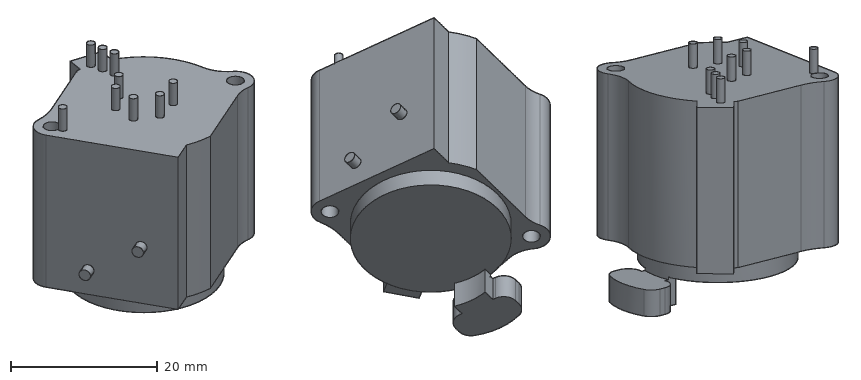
import cadquery as cq
import math


housing_height = 24.0
housing_radius = 12.8
half_width = 11.5
front_y = -12.5
front_right_x = 9.15

lug_offset = 9.9
lug_radius = -front_y - lug_offset
lug_hole_diameter = 2.4
back_blend_radius = 5.15
right_blend_radius = 5.15
left_blend_radius = 8.25

connector_angle = 140
connector_reach = 15.15
connector_width = 5.05

pin_diameter = 1.2
pin_length = 3.5
pin_grid = 2.55 / 4
pin_grid_places = [
    (-16, 12), (-13, 11), (-10, 10),
    (-6, 1), (6, 2), (-5, -4), (5, -4), (0, -7),
    (-13, -16),
]

peg_diameter = 1.65
peg_length = 1.5
peg_places = [(-6 * pin_grid, 3.85), (6 * pin_grid, 8.9)]

collar_radius = 11.0
collar_height = 2.7
knob_gap = 0.35
knob_height = 3.85
knob_half_width = 5.0
knob_inner_y = 11.25
knob_outer_y = 16.6
knob_face_radius = 10.32
knob_corner_radius = 2.0
stem_width = 5.13
stem_inner_radius = 9.75


def prism(outline):
    return outline.close().extrude(housing_height)


def cylinder(x, y, bottom, radius, height):
    return cq.Workplane("XY", origin=(x, y, bottom)).circle(radius).extrude(height)


def point_toward(start, end, distance):
    span = math.dist(start, end)
    return tuple(a + (b - a) * distance / span for a, b in zip(start, end))


def blend_web(blend_center, blend_radius, lug_center, wall_tangent, inner_points):
    """Fill between a lug and the housing, bounded outside by a tangent concave arc."""
    lug_tangent = point_toward(blend_center, lug_center, blend_radius)
    chord_middle = [(a + b) / 2 for a, b in zip(wall_tangent, lug_tangent)]
    arc_middle = point_toward(blend_center, chord_middle, blend_radius)
    outline = cq.Workplane("XY").moveTo(*wall_tangent).threePointArc(arc_middle, lug_tangent)
    outline = outline.lineTo(*lug_center)
    for inner_point in inner_points:
        outline = outline.lineTo(*inner_point)
    return prism(outline)


def side_blend(side, radius):
    """Web between a lug and the flat side wall; side is +1 for right, -1 for left."""
    lug_center = (side * lug_offset, side * lug_offset)
    center_x = half_width + radius
    drop = math.sqrt((lug_radius + radius) ** 2 - (center_x - lug_offset) ** 2)
    tangent_y = side * (lug_offset - drop)
    return blend_web(
        (side * center_x, tangent_y), radius, lug_center,
        (side * half_width, tangent_y), [(0, 0), (side * half_width, 0)],
    )


def back_blend():
    """Web between the back lug and the round back wall."""
    lug_center = (lug_offset, lug_offset)
    lug_distance = math.hypot(*lug_center)
    from_axis = housing_radius + back_blend_radius
    from_lug = lug_radius + back_blend_radius
    cosine = (from_axis**2 + lug_distance**2 - from_lug**2) / (2 * from_axis * lug_distance)
    angle = math.radians(45) + math.acos(cosine)
    direction = (math.cos(angle), math.sin(angle))
    center = tuple(from_axis * c for c in direction)
    tangent = tuple(housing_radius * c for c in direction)
    return blend_web(center, back_blend_radius, lug_center, tangent, [(0, 0)])


def make_housing():
    depth = housing_radius - front_y
    slab = (
        cq.Workplane("XY")
        .center(0, front_y + depth / 2)
        .rect(2 * half_width, depth)
        .extrude(housing_height)
    )
    body = cylinder(0, 0, 0, housing_radius, housing_height).intersect(slab)
    front_block = (
        cq.Workplane("XY")
        .moveTo(-lug_offset, front_y)
        .lineTo(front_right_x, front_y)
        .lineTo(front_right_x, 0)
        .lineTo(-half_width, 0)
        .lineTo(-half_width, -lug_offset)
        .lineTo(-lug_offset, -lug_offset)
    )
    body = body.union(prism(front_block))
    connector = (
        cq.Workplane("XY")
        .center(connector_reach / 2, 0)
        .rect(connector_reach, connector_width)
        .extrude(housing_height)
        .rotate((0, 0, 0), (0, 0, 1), connector_angle)
    )
    body = body.union(connector)
    for side in (-1, 1):
        offset = side * lug_offset
        body = body.union(cylinder(offset, offset, 0, lug_radius, housing_height))
    body = body.union(side_blend(1, right_blend_radius))
    body = body.union(side_blend(-1, left_blend_radius)).union(back_blend())
    for side in (-1, 1):
        offset = side * lug_offset
        body = body.cut(cylinder(offset, offset, 0, lug_hole_diameter / 2, housing_height))
    return body


def make_knob():
    bottom = -collar_height - knob_gap - knob_height
    face_drop = knob_face_radius - math.sqrt(knob_face_radius**2 - knob_half_width**2)
    shoulder_y = knob_outer_y - face_drop
    knob = (
        cq.Workplane("XY", origin=(0, 0, bottom))
        .moveTo(-knob_half_width, knob_inner_y)
        .lineTo(knob_half_width, knob_inner_y)
        .lineTo(knob_half_width, shoulder_y)
        .threePointArc((0, knob_outer_y), (-knob_half_width, shoulder_y))
        .close()
        .extrude(knob_height)
        .edges("|Z")
        .fillet(knob_corner_radius)
    )
    stem = (
        cq.Workplane("XY", origin=(0, knob_inner_y / 2, bottom))
        .rect(stem_width, knob_inner_y)
        .extrude(knob_height + knob_gap)
        .cut(cylinder(0, 0, bottom, stem_inner_radius, knob_height + knob_gap))
    )
    knob_top = bottom + knob_height
    neck = stem.intersect(cylinder(0, 0, knob_top, collar_radius, knob_gap))
    base = stem.intersect(cylinder(0, 0, bottom, knob_outer_y, knob_height))
    return knob.union(base).union(neck)


result = make_housing()
for column, row in pin_grid_places:
    pin = cylinder(column * pin_grid, row * pin_grid, housing_height, pin_diameter / 2, pin_length)
    result = result.union(pin)
for x, z in peg_places:
    peg = cq.Workplane("XZ", origin=(x, front_y, z)).circle(peg_diameter / 2).extrude(peg_length)
    result = result.union(peg)
result = result.union(cylinder(0, 0, -collar_height, collar_radius, collar_height))
result = result.union(make_knob())